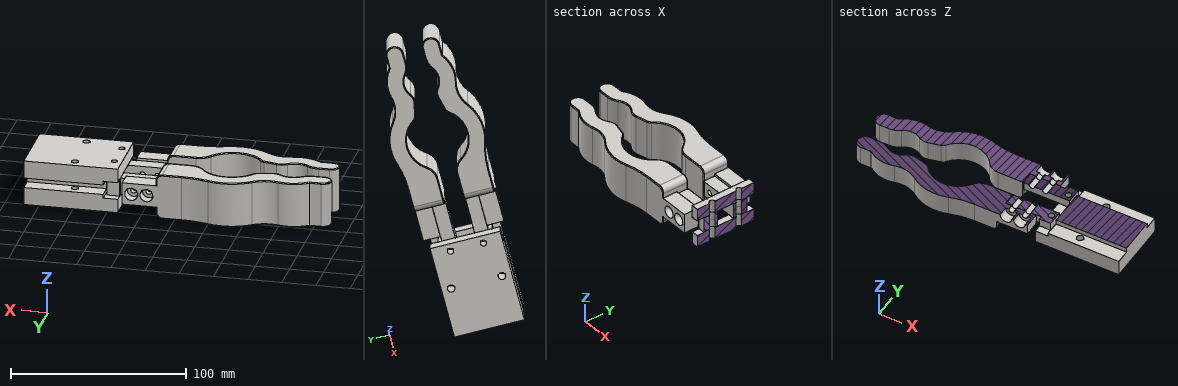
import cadquery as cq
import math

overall_length = 178.0
height = 27.0
sides = (1, -1)

jaw_inner_y = 5.7
jaw_outer_y = 23.9
jaw_thickness = 10.0
tip_radius = jaw_thickness / 2
head_end_x = 99.9

small_grip_centre = (24.2, 0.0)
small_grip_radius = 10.0
small_back_radius = small_grip_radius + jaw_thickness

large_grip_centre = (60.5, 0.0)
large_grip_radius = 17.6
large_back_radius = large_grip_radius + jaw_thickness
large_grip_start_x = 45.4

back_neck_radius = 17.0
back_tail_radius = 52.7
tip_blend_radius = 12.0
lobe_radius = 7.3
lobe_centre_y = 13.9
heel_radius = 9.8
lobe_corner_radius = 4.0

heel_corner_radius = 3.7
edge_bevel = 0.5

tang_end_x = 119.6
tang_height = 13.4
screw_xs = (105.4, 114.3)
screw_diameter = 3.4
screw_head_diameter = 7.5
screw_head_depth = 6.2

bar_outer_y = 13.7
bar_centre_y = (jaw_inner_y + bar_outer_y) / 2
bar_foot_outer_y = 15.8
bar_height = 10.3
bar_end_x = 130.3

housing_start_x = 122.8
housing_width = 41.5
bar_channel_end_x = 131.4
side_slot_height = 5.9
side_slot_depth = 8.9
pin_x = 127.3
pin_diameter = 3.5
mount_hole_x = 149.2
mount_hole_y = 15.0
mount_hole_diameter = 4.3


def box_between(x_range, y_range, z_size):
    """A box with the given X and Y limits, centred on Z = 0."""
    x_size = x_range[1] - x_range[0]
    y_size = y_range[1] - y_range[0]
    return (
        cq.Workplane("XY")
        .box(x_size, y_size, z_size)
        .translate((sum(x_range) / 2, sum(y_range) / 2, 0))
    )


def towards(start, target, distance):
    """The point at a distance from start on the line to target."""
    angle = math.atan2(target[1] - start[1], target[0] - start[0])
    return (start[0] + distance * math.cos(angle), start[1] + distance * math.sin(angle))


def offset_at_height(distance, rise):
    """The horizontal leg of a right triangle with the given hypotenuse and rise."""
    return math.sqrt(distance**2 - rise**2)


def circle_meeting(centre_a, radius_a, centre_b, radius_b):
    """The crossing of two circles that lies to the left of the line from A to B."""
    gap = math.dist(centre_a, centre_b)
    along = (radius_a**2 - radius_b**2 + gap**2) / (2 * gap)
    direction = math.atan2(centre_b[1] - centre_a[1], centre_b[0] - centre_a[0])
    angle = direction + math.acos(along / radius_a)
    return (centre_a[0] + radius_a * math.cos(angle), centre_a[1] + radius_a * math.sin(angle))


def arc_middle(start, end, centre):
    """The middle point of the shorter arc about centre from start to end."""
    chord_middle = ((start[0] + end[0]) / 2, (start[1] + end[1]) / 2)
    return towards(centre, chord_middle, math.dist(centre, start))


def large_grip_corner():
    """The sharp corner where the large grip starts, before it is rounded."""
    rise = offset_at_height(large_grip_radius, large_grip_centre[0] - large_grip_start_x)
    return (large_grip_start_x, large_grip_centre[1] + rise)


def jaw_outline():
    """Closed plan outline of the jaw head, along the back and returning along the grips."""
    tip_outer_y = jaw_inner_y + jaw_thickness

    back_start_x = small_grip_centre[0] - offset_at_height(small_back_radius, tip_outer_y)
    neck_centre = circle_meeting(
        small_grip_centre,
        small_back_radius + back_neck_radius,
        large_grip_centre,
        large_back_radius + back_neck_radius,
    )
    tail_y = jaw_outer_y + back_tail_radius
    tail_reach = offset_at_height(large_back_radius + back_tail_radius, tail_y - large_grip_centre[1])
    tail_centre = (large_grip_centre[0] + tail_reach, tail_y)

    heel_y = jaw_inner_y + heel_radius
    heel_reach = offset_at_height(large_grip_radius + heel_radius, heel_y - large_grip_centre[1])
    heel_centre = (large_grip_centre[0] + heel_reach, heel_y)
    blend_y = jaw_inner_y + tip_blend_radius
    blend_reach = offset_at_height(small_grip_radius + tip_blend_radius, blend_y - small_grip_centre[1])
    blend_centre = (small_grip_centre[0] - blend_reach, blend_y)
    lobe_reach = offset_at_height(small_grip_radius + lobe_radius, lobe_centre_y - small_grip_centre[1])
    lobe_centre = (small_grip_centre[0] + lobe_reach, lobe_centre_y)

    grip_corner = large_grip_corner()
    corner_distance = math.dist(lobe_centre, grip_corner)
    corner_angle = math.atan2(grip_corner[1] - lobe_centre[1], grip_corner[0] - lobe_centre[0])
    lobe_end_angle = corner_angle - math.acos(lobe_radius / corner_distance)
    lobe_end = (
        lobe_centre[0] + lobe_radius * math.cos(lobe_end_angle),
        lobe_centre[1] + lobe_radius * math.sin(lobe_end_angle),
    )

    tip_top = (tip_radius, tip_outer_y)
    tip_bottom = (tip_radius, jaw_inner_y)
    steps = [
        ((back_start_x, tip_outer_y), None),
        (towards(small_grip_centre, neck_centre, small_back_radius), small_grip_centre),
        (towards(large_grip_centre, neck_centre, large_back_radius), neck_centre),
        (towards(large_grip_centre, tail_centre, large_back_radius), large_grip_centre),
        ((tail_centre[0], jaw_outer_y), tail_centre),
        ((head_end_x, jaw_outer_y), None),
        ((head_end_x, jaw_inner_y), None),
        ((heel_centre[0], jaw_inner_y), None),
        (towards(large_grip_centre, heel_centre, large_grip_radius), heel_centre),
        (grip_corner, large_grip_centre),
        (lobe_end, None),
        (towards(small_grip_centre, lobe_centre, small_grip_radius), lobe_centre),
        (towards(small_grip_centre, blend_centre, small_grip_radius), small_grip_centre),
        ((blend_centre[0], jaw_inner_y), blend_centre),
        (tip_bottom, None),
    ]
    outline = cq.Workplane("XY").moveTo(*tip_top)
    start = tip_top
    for end, centre in steps:
        if centre is None:
            outline = outline.lineTo(*end)
        else:
            outline = outline.threePointArc(arc_middle(start, end, centre), end)
        start = end
    tip_nose = (0, jaw_inner_y + tip_radius)
    return outline.threePointArc(tip_nose, tip_top).close()


def jaw_head():
    """Jaw head with rounded heel corners and a small bevel around its faces and heel."""
    head = jaw_outline().extrude(height / 2, both=True)
    grip_corner_edge = cq.selectors.NearestToPointSelector((*large_grip_corner(), 0))
    head = head.edges(grip_corner_edge).fillet(lobe_corner_radius)
    head = head.faces(">X").edges("|Y").fillet(heel_corner_radius)
    face_rims = head.edges("not (|Y or |Z)")
    heel_sides = head.faces(">X").edges("|Z")
    return face_rims.add(heel_sides).chamfer(edge_bevel)


def at_side(body, side):
    """The body itself for the +Y side (1), or its mirror image for the -Y side (-1)."""
    if side > 0:
        return body
    return body.mirror("XZ")


def screw_cutters(diameter, depth):
    """Cylinders along Y at the screw places, from the outer side of the tang inwards."""
    return (
        cq.Workplane("XZ", origin=(0, jaw_outer_y, 0))
        .pushPoints([(x, 0) for x in screw_xs])
        .circle(diameter / 2)
        .extrude(depth)
    )


def screw_bores():
    """Clearance bores through tang and bar."""
    return screw_cutters(screw_diameter, jaw_outer_y - jaw_inner_y)


def upright_hole(x, y, diameter):
    """Cylinder along Z over the full height."""
    return cq.Workplane("XY").center(x, y).circle(diameter / 2).extrude(height / 2, both=True)


def jaw(side):
    """Grip jaw: head and tang in one piece, with counterbored screw holes in the tang."""
    root_x = head_end_x - heel_corner_radius
    tang = box_between((root_x, tang_end_x), (bar_outer_y, jaw_outer_y), tang_height)
    body = jaw_head().union(tang)
    body = body.cut(screw_bores()).cut(screw_cutters(screw_head_diameter, screw_head_depth))
    return at_side(body, side)


def bar(side):
    """Sliding bar that carries one jaw, with screw bores and a pin hole through its wider foot."""
    body = box_between((head_end_x, bar_end_x), (jaw_inner_y, bar_outer_y), bar_height)
    foot = box_between((housing_start_x, bar_end_x), (jaw_inner_y, bar_foot_outer_y), bar_height)
    body = body.union(foot).cut(screw_bores())
    body = body.cut(upright_hole(pin_x, bar_centre_y, pin_diameter))
    return at_side(body, side)


def housing():
    """Housing block with a channel for the bars, two side slots and four upright holes."""
    half_width = housing_width / 2
    slot_floor_y = half_width - side_slot_depth
    body = box_between((housing_start_x, overall_length), (-half_width, half_width), height)
    body = body.cut(
        box_between((housing_start_x, bar_channel_end_x), (-half_width, half_width), bar_height)
    )
    slot = box_between((bar_channel_end_x, overall_length), (slot_floor_y, half_width), side_slot_height)
    for side in sides:
        body = body.cut(at_side(slot, side))
        body = body.cut(upright_hole(pin_x, side * bar_centre_y, pin_diameter))
        body = body.cut(upright_hole(mount_hole_x, side * mount_hole_y, mount_hole_diameter))
    return body


jaws = [jaw(side).val() for side in sides]
bars = [bar(side).val() for side in sides]
result = cq.Compound.makeCompound([*jaws, *bars, housing().val()])